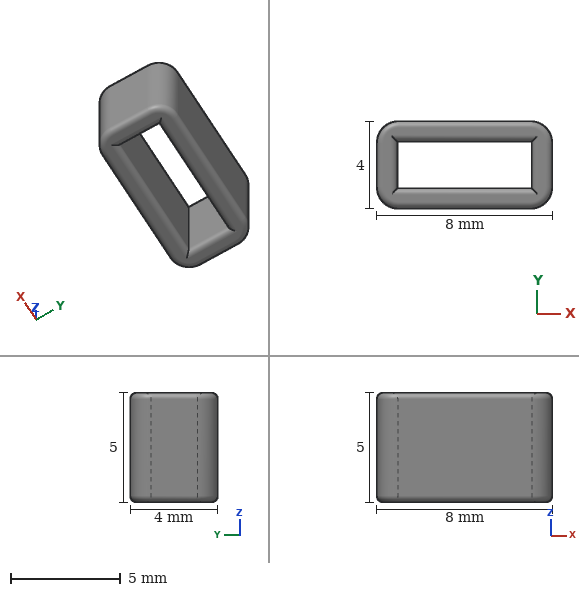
import cadquery as cq

length = 8.0
width = 4.0
height = 5.0
corner_radius = 1.0

opening_length = 6.1
opening_width = 2.1

rim_radius = 0.3


def make_body():
    """Block with rounded vertical corners."""
    block = cq.Workplane("XY").box(length, width, height)
    return block.edges("|Z").fillet(corner_radius)


def cut_opening(body):
    """Sharp-cornered opening through the full height."""
    return body.faces(">Z").workplane().rect(opening_length, opening_width).cutThruAll()


def round_rims(sleeve):
    """Round the outer rims and the opening mouths at the top and bottom."""
    return sleeve.faces("<Z or >Z").edges().fillet(rim_radius)


result = round_rims(cut_opening(make_body()))